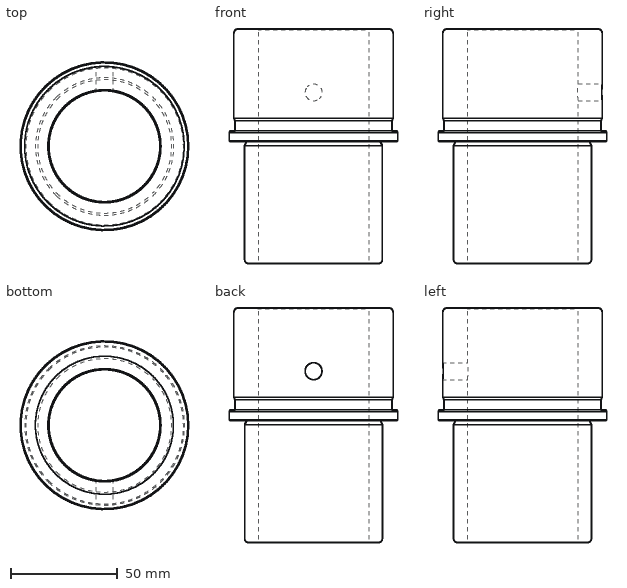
import cadquery as cq

total_height = 110.0
flange_bottom = 57.2
flange_top = 62.2
groove_top = 66.9

shank_radius = 32.3
flange_radius = 39.5
groove_radius = 36.8
head_radius = 37.4
bore_radius = 26.0

rim_fillet = 2.2
shank_end_fillet = 2.0
flange_chamfer_width = 0.4
flange_top_chamfer_height = 0.8
flange_bottom_chamfer_height = 0.3
head_chamfer = 1.3
neck_radius = 31.4
neck_height = 2.0
bore_chamfer = 0.5

oil_hole_diameter = 7.9
oil_hole_height = 80.3


def turned_body():
    """Revolve the stepped outside, ending in rounded rims."""
    profile = (
        cq.Workplane("XZ")
        .moveTo(0, 0)
        .lineTo(shank_radius, 0)
        .lineTo(shank_radius, flange_bottom - neck_height)
        .lineTo(neck_radius, flange_bottom)
        .lineTo(flange_radius - flange_chamfer_width, flange_bottom)
        .lineTo(flange_radius, flange_bottom + flange_bottom_chamfer_height)
        .lineTo(flange_radius, flange_top - flange_top_chamfer_height)
        .lineTo(flange_radius - flange_chamfer_width, flange_top)
        .lineTo(groove_radius, flange_top)
        .lineTo(groove_radius, groove_top)
        .lineTo(head_radius, groove_top + head_chamfer)
        .lineTo(head_radius, total_height)
        .lineTo(0, total_height)
        .close()
    )
    body = profile.revolve(360, (0, 0, 0), (0, 1, 0))
    body = body.faces(">Z").edges().fillet(rim_fillet)
    return body.faces("<Z").edges().fillet(shank_end_fillet)


def bore():
    """Straight through bore, chamfered at both ends."""
    mouth_radius = bore_radius + bore_chamfer
    return (
        cq.Workplane("XZ")
        .moveTo(0, 0)
        .lineTo(mouth_radius, 0)
        .lineTo(bore_radius, bore_chamfer)
        .lineTo(bore_radius, total_height - bore_chamfer)
        .lineTo(mouth_radius, total_height)
        .lineTo(0, total_height)
        .close()
        .revolve(360, (0, 0, 0), (0, 1, 0))
    )


def oil_hole():
    """Cylinder from inside the bore out through the +Y wall."""
    return (
        cq.Workplane("XZ")
        .center(0, oil_hole_height)
        .circle(oil_hole_diameter / 2)
        .extrude(-flange_radius)
    )


result = turned_body().cut(bore()).cut(oil_hole())